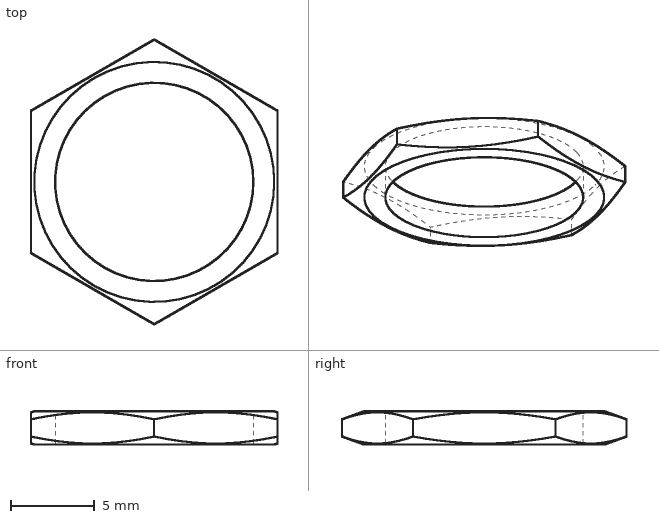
import cadquery as cq
import math

across_flats = 14.7
thickness = 2.0
bore_diameter = 11.8
face_diameter = 14.3
chamfer_angle = 20.0
corner_clearance = 0.5

hexagon_sides = 6
half_side_angle = 180 / hexagon_sides
across_corners = across_flats / math.cos(math.radians(half_side_angle))
half_thickness = thickness / 2


def hexagonal_blank():
    """Hexagonal prism with two of its flats facing +X and -X."""
    base_plane = cq.Workplane("XY").workplane(offset=-half_thickness)
    prism = base_plane.polygon(hexagon_sides, across_corners).extrude(thickness)
    return prism.rotate((0, 0, 0), (0, 0, 1), half_side_angle)


def chamfer_envelope():
    """Disc with conical edges; it trims the hexagon corners at both faces."""
    face_radius = face_diameter / 2
    rim_radius = across_corners / 2 + corner_clearance
    chamfer_drop = (rim_radius - face_radius) * math.tan(math.radians(chamfer_angle))
    rim_z = half_thickness - chamfer_drop
    profile = (
        cq.Workplane("XZ")
        .moveTo(0, -half_thickness)
        .lineTo(face_radius, -half_thickness)
        .lineTo(rim_radius, -rim_z)
        .lineTo(rim_radius, rim_z)
        .lineTo(face_radius, half_thickness)
        .lineTo(0, half_thickness)
        .close()
    )
    return profile.revolve(360, (0, 0, 0), (0, 1, 0))


def bore():
    """Cylinder that cuts the plain through hole."""
    base_plane = cq.Workplane("XY").workplane(offset=-half_thickness)
    return base_plane.circle(bore_diameter / 2).extrude(thickness)


result = hexagonal_blank().intersect(chamfer_envelope()).cut(bore())